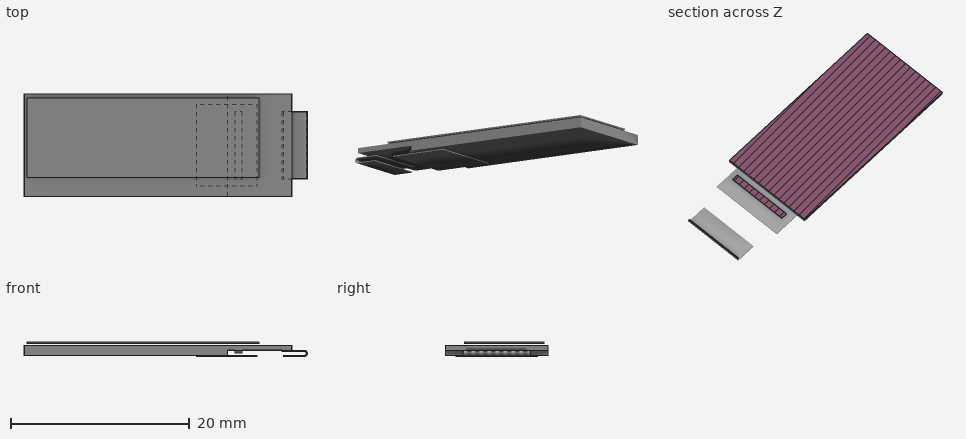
import cadquery as cq

panel_width = 11.5
cover_length = 29.95
back_length = 22.75
glass_thickness = 0.57
cover_bottom = glass_thickness
cover_top = 2 * glass_thickness

film_length = 25.95
film_width = 8.9
film_thickness = 0.2
film_gap = 0.2
film_left_margin = 0.32
film_back_margin = 0.45

chip_left = 23.55
chip_length = 0.82
chip_height = 0.3

overall_length = 31.65
flex_thickness = 0.1
fold_width = 7.53
fold_height = glass_thickness + flex_thickness
fold_outer_radius = fold_height / 2
fold_inner_radius = fold_outer_radius - flex_thickness
fold_center_x = overall_length - fold_outer_radius
upper_leg_start = 28.8
lower_leg_start = 29.0

tail_left = 19.27
tail_length = 6.77
tail_width = 9.15


def block(left, length, width, bottom, height):
    """Box centered on Y, placed by its left end and its underside."""
    return cq.Workplane("XY").box(length, width, height, centered=(False, True, False)).translate(
        (left, 0, bottom)
    )


def make_folded_flex():
    """U-shaped strip whose upper leg lies against the cover glass."""
    top = cover_bottom
    bottom = top - fold_height
    middle = top - fold_outer_radius
    return (
        cq.Workplane("XZ")
        .moveTo(upper_leg_start, top)
        .lineTo(fold_center_x, top)
        .threePointArc((overall_length, middle), (fold_center_x, bottom))
        .lineTo(lower_leg_start, bottom)
        .lineTo(lower_leg_start, bottom + flex_thickness)
        .lineTo(fold_center_x, bottom + flex_thickness)
        .threePointArc(
            (fold_center_x + fold_inner_radius, middle),
            (fold_center_x, top - flex_thickness),
        )
        .lineTo(upper_leg_start, top - flex_thickness)
        .close()
        .extrude(fold_width / 2, both=True)
    )


def make_panel():
    """Glass panel with its chip and flexible strips as one solid."""
    cover = block(0, cover_length, panel_width, cover_bottom, glass_thickness)
    back = block(0, back_length, panel_width, 0, glass_thickness)
    chip = block(chip_left, chip_length, fold_width, cover_bottom - chip_height, chip_height)
    tail = block(tail_left, tail_length, tail_width, -flex_thickness, flex_thickness)
    panel = cover
    for piece in (back, chip, tail, make_folded_flex()):
        panel = panel.union(piece, clean=False)
    return panel.solids()


def make_film():
    """Thin film lying clear of the cover glass, nearer its +Y edge."""
    film_center_y = (panel_width - film_width) / 2 - film_back_margin
    film = block(film_left_margin, film_length, film_width, cover_top + film_gap, film_thickness)
    return film.translate((0, film_center_y, 0))


panel = make_panel()
film = make_film()

result = cq.Compound.makeCompound([panel.val(), film.val()])